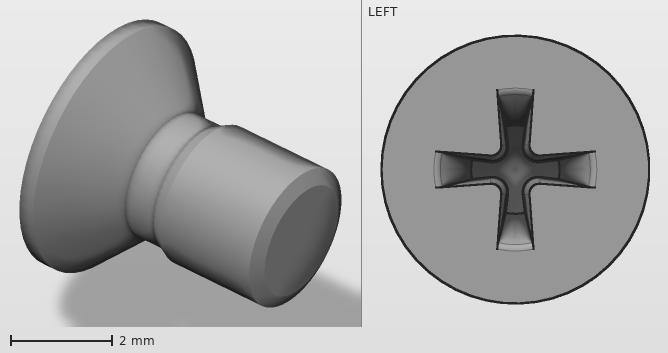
import cadquery as cq
import math

length = 5.0
head_radius = 2.65
neck_radius = 1.345
body_radius = 1.5
tip_radius = 1.19
head_rim = 0.345
neck_start = head_rim + head_radius - neck_radius
neck_end = 2.33
body_start = 2.64
body_end = 4.845

recess_radius = 1.61
lip_radius = 1.485
lip_depth = 0.08
floor_radius = 0.875
wall_angle = math.radians(26.5)
floor_angle = math.radians(28)
floor_start = lip_depth + (lip_radius - floor_radius) / math.tan(wall_angle)
recess_depth = floor_start + floor_radius * math.tan(floor_angle)

wing_flare = 0.073
wing_draft = 0.09
wing_half_width = 0.245
corner_center = 0.47
wing_reach = 1.75


def make_shank_and_head():
    return (
        cq.Workplane("XY")
        .lineTo(0, head_radius)
        .lineTo(head_rim, head_radius)
        .lineTo(neck_start, neck_radius)
        .lineTo(neck_end, neck_radius)
        .lineTo(body_start, body_radius)
        .lineTo(body_end, body_radius)
        .lineTo(length, tip_radius)
        .lineTo(length, 0)
        .close()
        .revolve(360, (0, 0, 0), (1, 0, 0))
    )


def make_cavity():
    """Cone with a rounded lip at the face and a shallow conical floor."""
    return (
        cq.Workplane("XY")
        .moveTo(recess_depth, 0)
        .lineTo(floor_start, floor_radius)
        .lineTo(lip_depth, lip_radius)
        .tangentArcPoint((0, recess_radius), relative=False)
        .lineTo(0, 0)
        .close()
        .revolve(360, (0, 0, 0), (1, 0, 0))
    )


def cross_section(depth):
    """Cross outline at a depth, with an arc in each inner corner."""
    half_width = wing_half_width - wing_draft * depth
    slant = math.hypot(1, wing_flare)
    corner_radius = (corner_center * (1 - wing_flare) - half_width) / slant
    along = corner_center + corner_radius * wing_flare / slant
    across = corner_center - corner_radius / slant
    middle = corner_center - corner_radius / math.sqrt(2)
    end_half_width = half_width + wing_flare * wing_reach

    def turned(point, quarter):
        y, z = point
        for _ in range(quarter):
            y, z = -z, y
        return cq.Vector(depth, y, z)

    edges = []
    for quarter in range(4):
        tip_low = turned((wing_reach, -end_half_width), quarter)
        tip_high = turned((wing_reach, end_half_width), quarter)
        arc_start = turned((along, across), quarter)
        arc_middle = turned((middle, middle), quarter)
        arc_end = turned((across, along), quarter)
        next_tip = turned((wing_reach, -end_half_width), quarter + 1)
        edges += [
            cq.Edge.makeLine(tip_low, tip_high),
            cq.Edge.makeLine(tip_high, arc_start),
            cq.Edge.makeThreePointArc(arc_start, arc_middle, arc_end),
            cq.Edge.makeLine(arc_end, next_tip),
        ]
    return cq.Wire.assembleEdges(edges)


def make_recess():
    wings = cq.Solid.makeLoft([cross_section(0), cross_section(recess_depth)], True)
    return make_cavity().intersect(cq.Workplane(wings))


result = make_shank_and_head().cut(make_recess())